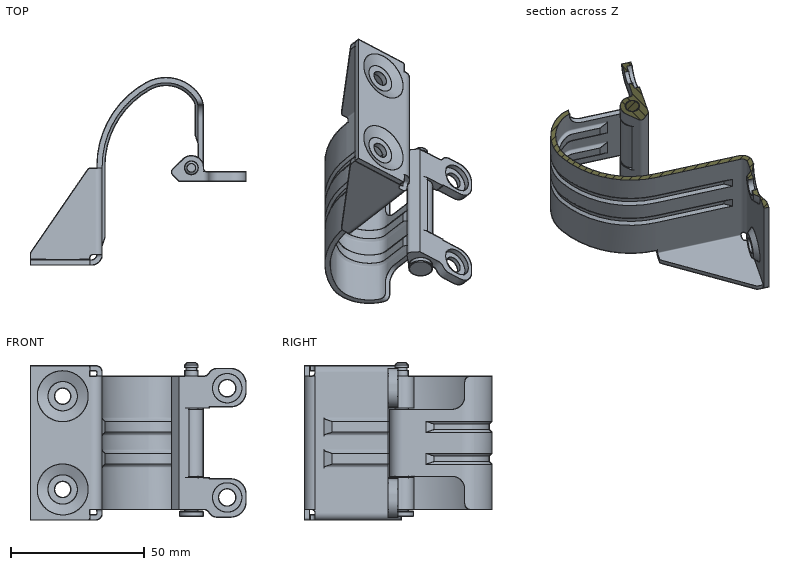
import cadquery as cq
import math

sheet = 2.0
base_height = 58.0
base_bend_radius = 4.05
wall_face_x = 27.0
wall_back_x = wall_face_x - sheet
strap_height = 50.05
base_half = base_height / 2
strap_half = strap_height / 2

wall_top_y = 37.2
crown_y = 70.5
strap_right_x = 65.0
crown_radius = 15.3
crown_x = 50.9
corner_radius = 8.1
crown_centre_y = crown_y - crown_radius
arc_dx = crown_x - wall_back_x
arc_dy = crown_centre_y - wall_top_y
large_radius = (arc_dx**2 + arc_dy**2 - crown_radius**2) / (2 * (arc_dx - crown_radius))
large_x = wall_back_x + large_radius
corner_x = strap_right_x - corner_radius
corner_y = crown_centre_y + math.sqrt((crown_radius - corner_radius)**2 - (corner_x - crown_x)**2)

gusset_bend_radius = 2.5
gusset_top_y = 36.45
gusset_gap = 0.2
gusset_foot_y = 4.6
gusset_foot_fillet = 2.0
gusset_tip_x = 21.9
gusset_tip_fillet = 1.2
relief_x = 22.35
relief_y = 4.0
relief_fillet = 1.2
plate_corner_fillet = 0.9

seat_x = 12.15
seat_z = 17.5
seat_rim_dia = 19.1
seat_floor_dia = 11.0
seat_hole_dia = 6.0
seat_depth = 1.9
boss_foot_dia = 13.45
boss_top_dia = 9.55

bead_z = 6.0
bead_depth = 1.05
groove_mouth = 4.1
bead_foot = 6.8
bead_foot_fillet = 0.8
flank_angle = 45.0
bead_start_y = 7.3
bead_end_y = 45.6
bead_ramp = 3.1

ear_height = 25.1
ear_edge_y = 60.2
ear_outer_fillet = 2.2
ear_inner_fillet = 4.9

pin_x = 60.4
pin_y = 36.5
pin_dia = 5.0
knuckle_dia = 2 * (strap_right_x - pin_x)

pin_head_dia = 9.0
pin_head_top = -25.6
pin_head_bottom = -27.7
pin_head_chamfer = 0.3
pin_groove_dia = 4.1
pin_groove_bottom = 27.05
pin_groove_top = 28.2
pin_top = 30.1
pin_chamfer = 0.9

leaf_front_y = 31.4
leaf_bore_dia = 5.2
leaf_round_radius = 4.6
leaf_corner_x = 55.8
leaf_nose_fillet = 1.5
arm_thickness = 3.65
arm_end_x = 81.0
arm_top_z = 27.95
arm_bottom_z = 13.45
arm_end_radius = 5.9
arm_root_fillet = 1.2
arm_rise_start_x = 66.3
arm_rise_end_x = 68.1
arm_rise_inner_fillet = 2.35
arm_rise_outer_fillet = 3.6
arm_step_x = 67.15
window_half = 13.05
pocket_radius = 5.2
eye_x = 73.9
eye_z = 20.5
eye_dia = 6.4
eye_recess_dia = 11.0
eye_recess_depth = 2.0


def slab(x0, x1, y0, y1, z0, z1):
    """Axis-aligned block between the given limits."""
    return cq.Workplane("XY").box(x1 - x0, y1 - y0, z1 - z0, centered=False).translate((x0, y0, z0))


def post(x, y, z0, z1, dia):
    """Upright cylinder between two heights."""
    return cq.Workplane("XY", origin=(x, y, z0)).circle(dia / 2).extrude(z1 - z0)


def edge_at(x, y, z=0.0):
    """Selector for the edge nearest to a point."""
    return cq.selectors.NearestToPointSelector((x, y, z))


def strap_path(depth, start_y, end_y):
    """Strap line lying the given depth inside the outer face, from wall to hinge leg."""
    large_r = large_radius - depth
    crown_r = crown_radius - depth
    corner_r = corner_radius - depth
    blend = math.atan2(arc_dy, crown_x - large_x)
    turn = math.atan2(corner_y - crown_centre_y, corner_x - crown_x)

    def on_arc(x, y, radius, angle):
        return (x + radius * math.cos(angle), y + radius * math.sin(angle))

    return (
        cq.Workplane("XY")
        .moveTo(wall_back_x + depth, start_y)
        .lineTo(wall_back_x + depth, wall_top_y)
        .threePointArc(
            on_arc(large_x, wall_top_y, large_r, (blend + math.pi) / 2),
            on_arc(large_x, wall_top_y, large_r, blend),
        )
        .threePointArc(
            (crown_x, crown_centre_y + crown_r),
            on_arc(crown_x, crown_centre_y, crown_r, turn),
        )
        .threePointArc(
            on_arc(corner_x, corner_y, corner_r, turn / 2),
            (strap_right_x - depth, corner_y),
        )
        .lineTo(strap_right_x - depth, end_y)
    )


def base_and_wall():
    """Base plate, its bend and the upright wall, at full base height."""
    return (
        cq.Workplane("XY", origin=(0, 0, -base_half))
        .polyline([
            (0, 0),
            (wall_face_x, 0),
            (wall_face_x, gusset_top_y),
            (wall_back_x, gusset_top_y),
            (wall_back_x, sheet),
            (0, sheet),
        ]).close()
        .extrude(base_height)
        .edges(edge_at(wall_face_x, 0)).fillet(base_bend_radius)
        .edges(edge_at(wall_back_x, sheet))
        .fillet(base_bend_radius - sheet)
    )


def gusset_block():
    """Triangular block whose top and bottom skins are the two gussets."""
    foot_y = sheet + gusset_gap
    return (
        cq.Workplane("XY", origin=(0, 0, -base_half))
        .polyline([
            (0, foot_y),
            (0, gusset_foot_y),
            (gusset_tip_x, gusset_top_y),
            (wall_face_x, gusset_top_y),
            (wall_face_x, foot_y),
        ]).close()
        .extrude(base_height)
        .edges(edge_at(gusset_tip_x, gusset_top_y))
        .fillet(gusset_tip_fillet)
        .edges(edge_at(0, gusset_foot_y))
        .fillet(gusset_foot_fillet)
        .edges("|Y and >X").fillet(gusset_bend_radius)
    )


def gusset_core():
    """Space between the gussets, behind the wall."""
    return (
        slab(-sheet, wall_back_x, sheet, crown_y, sheet - base_half, base_half - sheet)
        .edges("|Y and >X").fillet(gusset_bend_radius - sheet)
    )


def bend_corner_relief():
    """Cutters that trim the base bend to strap height, with rounded inner corners."""
    margin = sheet
    upper = (
        slab(relief_x, wall_face_x + margin, -margin, relief_y, strap_half, base_half + margin)
        .edges("(|Y and <X and <Z) or (|X and >Y and <Z) or (|Z and <X and >Y)")
        .fillet(relief_fillet)
    )
    return upper, upper.mirror("XY")


def seat_frustum(y0, dia0, y1, dia1, x, z):
    """Cone frustum along Y between two diameters."""
    return (
        cq.Workplane("XY")
        .polyline([(0, y0), (dia0 / 2, y0), (dia1 / 2, y1), (0, y1)]).close()
        .revolve(360, (0, 0, 0), (0, 1, 0))
        .translate((x, 0, z))
    )


def add_screw_seats(body):
    """Dished seats with a clearance hole and a low boss behind each."""
    boss_back_y = 2 * sheet
    for z in (seat_z, -seat_z):
        body = body.union(seat_frustum(sheet, boss_foot_dia, boss_back_y, boss_top_dia, seat_x, z))
        body = body.cut(seat_frustum(0, seat_rim_dia, seat_depth, seat_floor_dia, seat_x, z))
        body = body.cut(seat_frustum(0, seat_hole_dia, boss_back_y, seat_hole_dia, seat_x, z))
    return body


def strap_band():
    """Strap of constant thickness, at full strap height, with the leg ending at the pin."""
    outer = strap_path(0, relief_y, relief_y).close().extrude(strap_height)
    inner = strap_path(sheet, relief_y, relief_y).close().extrude(strap_height)
    band = outer.cut(inner).translate((0, 0, -strap_half))
    return band.cut(slab(crown_x, arm_end_x, 0, pin_y, -strap_half, strap_half))


def ear_cut():
    """Material removed above and below the ear, with a rounded corner and a rounded root."""
    ear_half = ear_height / 2
    r_out = ear_outer_fillet
    r_in = ear_inner_fillet
    diag = math.sqrt(0.5)
    upper = (
        cq.Workplane("YZ", origin=(crown_x, 0, 0))
        .moveTo(0, ear_half)
        .lineTo(ear_edge_y - r_in, ear_half)
        .threePointArc(
            (ear_edge_y - r_in + r_in * diag, ear_half + r_in - r_in * diag),
            (ear_edge_y, ear_half + r_in),
        )
        .lineTo(ear_edge_y, strap_half - r_out)
        .threePointArc(
            (ear_edge_y + r_out - r_out * diag, strap_half - r_out + r_out * diag),
            (ear_edge_y + r_out, strap_half),
        )
        .lineTo(ear_edge_y + r_out, base_half)
        .lineTo(0, base_half)
        .close()
        .extrude(arm_end_x - crown_x)
    )
    return upper.union(upper.mirror("XY"))


def groove_profile(z):
    """Outer groove section: sloping flanks and a flat floor."""
    mouth = groove_mouth / 2
    floor = mouth - bead_depth / math.tan(math.radians(flank_angle))
    return (
        cq.Workplane("XZ", origin=(wall_back_x, bead_start_y, z))
        .polyline([(0, -mouth), (bead_depth, -floor), (bead_depth, floor), (0, mouth)])
        .close()
    )


def bead_profile(z):
    """Inner bead section: filleted foot, sloping flanks and a flat crest."""
    foot = bead_foot / 2
    radius = bead_foot_fillet

    def on_fillet(degrees):
        angle = math.radians(degrees)
        return (radius * (1 - math.cos(angle)), foot - radius * math.sin(angle))

    arc_mid = on_fillet(flank_angle / 2)
    arc_end = on_fillet(flank_angle)
    crest = arc_end[1] - (bead_depth - arc_end[0]) / math.tan(math.radians(flank_angle))
    return (
        cq.Workplane("XZ", origin=(wall_face_x, bead_start_y, z))
        .moveTo(0, foot)
        .threePointArc(arc_mid, arc_end)
        .lineTo(bead_depth, crest)
        .lineTo(bead_depth, -crest)
        .lineTo(arc_end[0], -arc_end[1])
        .threePointArc((arc_mid[0], -arc_mid[1]), (0, -foot))
        .close()
    )


def bead_bar(profile, near):
    """Sweeps a section along the strap from the given depth, with sloping ends."""
    far = near + bead_depth
    bar = profile.sweep(strap_path(near, bead_start_y, bead_end_y))
    wall_ramp = [
        (wall_back_x + near, bead_start_y),
        (wall_back_x + far, bead_start_y),
        (wall_back_x + far, bead_start_y + bead_ramp),
    ]
    leg_ramp = [
        (strap_right_x - near, bead_end_y),
        (strap_right_x - far, bead_end_y),
        (strap_right_x - far, bead_end_y + bead_ramp),
    ]
    for ramp in (wall_ramp, leg_ramp):
        wedge = cq.Workplane("XY", origin=(0, 0, -strap_half)).polyline(ramp).close().extrude(strap_height)
        bar = bar.cut(wedge)
    return bar


def make_bracket():
    """Bent sheet bracket with gussets, beaded strap and rolled hinge knuckle."""
    bend_room = slab(relief_x, wall_face_x, 0, base_bend_radius, -strap_half, strap_half)
    gussets = gusset_block().cut(gusset_core()).cut(bend_room)
    wall = base_and_wall().intersect(
        slab(0, relief_x, 0, sheet, -base_half, base_half)
        .edges("|Y and >X").fillet(plate_corner_fillet)
        .union(slab(0, wall_face_x, 0, gusset_top_y, -strap_half, strap_half))
        .union(gusset_block())
    )
    body = wall.union(gussets)
    for cutter in bend_corner_relief():
        body = body.cut(cutter)
    body = add_screw_seats(body)

    body = body.union(strap_band().cut(ear_cut()))
    for z in (bead_z, -bead_z):
        body = body.union(bead_bar(bead_profile(z), sheet))
        body = body.cut(bead_bar(groove_profile(z), 0))

    ear_half = ear_height / 2
    body = body.union(post(pin_x, pin_y, -ear_half, ear_half, knuckle_dia))
    return body.cut(post(pin_x, pin_y, -ear_half, ear_half, pin_dia))


def leaf_body():
    """Leaf block: rounded about the pin, with a 45 degree nose."""
    tangent = leaf_round_radius * math.sqrt(0.5)
    top_x = pin_x - tangent
    top_y = pin_y + tangent
    rise = top_y - leaf_front_y
    run = top_x - leaf_corner_x
    nose_height = (rise - run) / 2
    nose = (leaf_corner_x - nose_height, leaf_front_y + nose_height)
    right_x = pin_x + leaf_round_radius
    return (
        cq.Workplane("XY", origin=(0, 0, -strap_half))
        .moveTo(leaf_corner_x, leaf_front_y)
        .lineTo(right_x, leaf_front_y)
        .lineTo(right_x, pin_y)
        .threePointArc((pin_x, pin_y + leaf_round_radius), (top_x, top_y))
        .lineTo(*nose)
        .close()
        .extrude(strap_height)
        .edges(edge_at(*nose)).fillet(leaf_nose_fillet)
    )


def leaf_arm():
    """Upper arm with its rounded end and recessed eye."""
    arm_mid_y = leaf_front_y + arm_thickness / 2
    arm = (
        cq.Workplane("XZ", origin=(0, leaf_front_y, 0))
        .polyline([
            (pin_x, window_half),
            (pin_x, strap_half),
            (arm_rise_start_x, strap_half),
            (arm_rise_end_x, arm_top_z),
            (arm_end_x, arm_top_z),
            (arm_end_x, arm_bottom_z),
            (arm_step_x, arm_bottom_z),
            (arm_step_x, window_half),
        ]).close()
        .extrude(-arm_thickness)
        .edges(edge_at(arm_end_x, arm_mid_y, arm_top_z)).fillet(arm_end_radius)
        .edges(edge_at(arm_end_x, arm_mid_y, arm_bottom_z)).fillet(arm_end_radius)
        .edges(edge_at(arm_rise_end_x, arm_mid_y, arm_top_z)).fillet(arm_rise_outer_fillet)
        .edges(edge_at(arm_rise_start_x, arm_mid_y, strap_half)).fillet(arm_rise_inner_fillet)
    )
    eye = cq.Workplane("XZ", origin=(eye_x, leaf_front_y, eye_z))
    arm = arm.cut(eye.circle(eye_dia / 2).extrude(-arm_thickness))
    return arm.cut(eye.circle(eye_recess_dia / 2).extrude(-eye_recess_depth))


def arm_root():
    """Concave fillet between the leaf block and the back of an arm."""
    x0 = pin_x + leaf_round_radius
    y0 = leaf_front_y + arm_thickness
    r = arm_root_fillet
    diag = r * math.sqrt(0.5)
    return (
        cq.Workplane("XY", origin=(0, 0, window_half))
        .moveTo(x0, y0)
        .lineTo(x0 + r, y0)
        .threePointArc((x0 + r - diag, y0 + r - diag), (x0, y0 + r))
        .close()
        .extrude(strap_half - window_half)
    )


def make_leaf():
    """Hinge leaf with two eyed arms and a pocket for the knuckle."""
    arm = leaf_arm().union(arm_root())
    leaf = leaf_body()
    for part in (arm, arm.mirror("XY")):
        leaf = leaf.union(part)
    leaf = leaf.cut(post(pin_x, pin_y, -window_half, window_half, 2 * pocket_radius))
    leaf = leaf.cut(slab(pin_x, arm_end_x, 0, crown_y, -window_half, window_half))
    return leaf.cut(post(pin_x, pin_y, -strap_half, strap_half, leaf_bore_dia))


def make_pin():
    """Hinge pin with a head below and a retaining groove near the chamfered top."""
    head = (
        post(pin_x, pin_y, pin_head_bottom, pin_head_top, pin_head_dia)
        .edges().chamfer(pin_head_chamfer)
    )
    shank = post(pin_x, pin_y, pin_head_bottom, pin_top, pin_dia).faces(">Z").chamfer(pin_chamfer)
    ring = post(pin_x, pin_y, pin_groove_bottom, pin_groove_top, pin_head_dia).cut(
        post(pin_x, pin_y, pin_groove_bottom, pin_groove_top, pin_groove_dia)
    )
    return head.union(shank).cut(ring)


bracket = make_bracket()
leaf = make_leaf()
pin = make_pin()

result = cq.Compound.makeCompound([bracket.val(), leaf.val(), pin.val()])